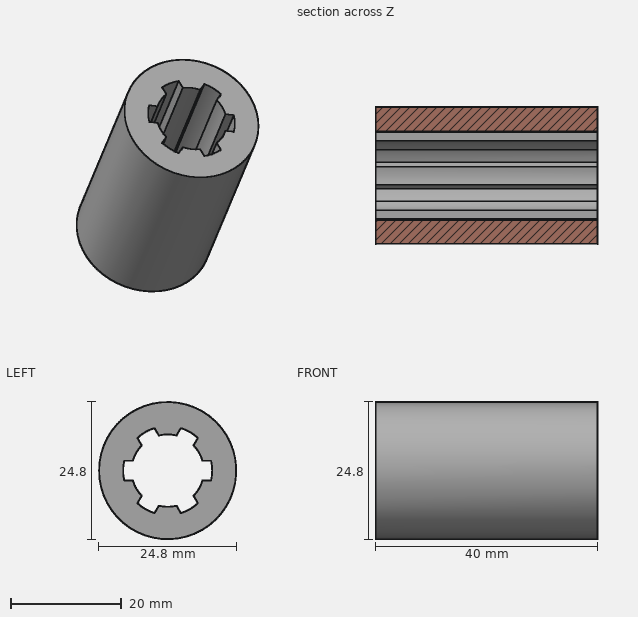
import cadquery as cq

length = 40.0
outer_diameter = 24.75
spline_minor_diameter = 13.0
spline_major_diameter = 16.0
groove_width = 3.5
groove_count = 6


def cylinder_along_x(diameter):
    """Full-length cylinder centred on the origin, with its axis along X."""
    start_plane = cq.Workplane("YZ").workplane(offset=-length / 2)
    return start_plane.circle(diameter / 2).extrude(length)


def splined_bore():
    """Through bore widened by parallel-sided grooves with rounded bottoms."""
    major_cylinder = cylinder_along_x(spline_major_diameter)
    bore = cylinder_along_x(spline_minor_diameter)
    for index in range(groove_count // 2):
        bar = cq.Workplane("XY").box(length, outer_diameter, groove_width)
        bar = bar.rotate((0, 0, 0), (1, 0, 0), index * 360 / groove_count)
        bore = bore.union(bar.intersect(major_cylinder))
    return bore


result = cylinder_along_x(outer_diameter).cut(splined_bore())